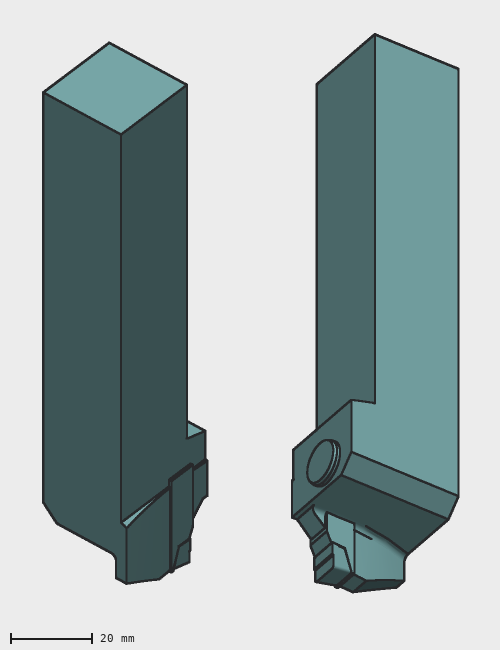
import cadquery as cq

LENGTH = 151.4
SHANK_SIZE = 25.0
HEAD_BACK_Y = 32.0
HEAD_SLOPE_TOP_Z = 38.9
HEAD_SLOPE_END_Z = 37.0
HEAD_BOTTOM_Z = 16.6
CORNER_CUT = 4.4

BLADE_OUTER_X = 26.8
BLADE_FRONT_INNER_X = 23.3
BLADE_INNER_X = 19.2
BLADE_WAIST_X = 25.3
BOSS_TOP_Z = 28.0
BOSS_TOP_DROP = 0.8
BLADE_FILLET = 1.5
BLADE_FRONT_Z = 9.5
BLADE_HEEL_Y = 13.8
BLADE_HEEL_Z = 1.5

RIB_MIN_Y = 18.2
RIB_MAX_Y = 26.3
RIB_MIN_X = 18.6
RIB_MAX_X = 25.7
RIB_TOP_Z = 30.1
RIB_BOTTOM_Z = 1.0

JAW_TOP_Y = 30.4
JAW_SHOULDER_Z = 12.1
JAW_NECK_Z = 10.6

INSERT_MIN_X = 18.2
INSERT_WIDTH = 7.9
INSERT_SIDE_RELIEF = 0.5
INSERT_TOP_Z = 7.5
INSERT_BACK_Y = 25.0
RAKE_Y = 24.7
RAKE_TOP_Z = 3.8
RAKE_STEP_Z = 4.1
SEAT_TOP_Y = 21.0
SEAT_BOTTOM_Y = 18.9
INSERT_HEEL_Z = 1.0
INSERT_CORNER_RADIUS = 0.8

SCREW_DIAMETER = 11.8
SCREW_X = 10.7
SCREW_Z = 23.9
SCREW_HEIGHT = 1.8
SCREW_TAPER_HEIGHT = 0.9
SCREW_TAPER_INSET = 0.3

ARC_CENTER_Y = (RIB_MIN_Y + RIB_MAX_Y) / 2


def arc_x(crest_x, front_x, y):
    """X at y on a shallow curve with its crest at ARC_CENTER_Y, reaching front_x at y = 0."""
    return crest_x + (front_x - crest_x) * ((y - ARC_CENTER_Y) / ARC_CENTER_Y) ** 2


def side_profile():
    """Y-Z outline of the whole holder, as a prism that covers its full width."""
    outline = [
        (0, LENGTH),
        (SHANK_SIZE, LENGTH),
        (SHANK_SIZE, HEAD_SLOPE_TOP_Z),
        (HEAD_BACK_Y, HEAD_SLOPE_END_Z),
        (HEAD_BACK_Y, HEAD_BOTTOM_Z),
        (JAW_TOP_Y, HEAD_BOTTOM_Z),
        (RIB_MAX_Y, JAW_SHOULDER_Z),
        (RIB_MAX_Y, JAW_NECK_Z),
        (INSERT_BACK_Y, INSERT_TOP_Z),
        (INSERT_BACK_Y, RIB_BOTTOM_Z),
        (RIB_MIN_Y, RIB_BOTTOM_Z),
        (RIB_MIN_Y, BLADE_HEEL_Z),
        (BLADE_HEEL_Y, BLADE_HEEL_Z),
        (0, BLADE_FRONT_Z),
    ]
    return cq.Workplane("YZ").polyline(outline).close().extrude(BLADE_OUTER_X)


def body_block():
    """Shank and head before the side profile is applied."""
    outline = [
        (0, LENGTH),
        (SHANK_SIZE, LENGTH),
        (SHANK_SIZE, HEAD_BOTTOM_Z),
        (CORNER_CUT, HEAD_BOTTOM_Z),
        (0, HEAD_BOTTOM_Z + CORNER_CUT),
    ]
    return cq.Workplane("XZ").polyline(outline).close().extrude(-HEAD_BACK_Y)


def blade_block():
    """Blade with arched sides and a sloped top on its +X side."""
    back_inner_x = arc_x(BLADE_INNER_X, BLADE_FRONT_INNER_X, HEAD_BACK_Y)
    back_outer_x = arc_x(BLADE_WAIST_X, BLADE_OUTER_X, HEAD_BACK_Y)
    section = (
        cq.Workplane("XY")
        .moveTo(BLADE_FRONT_INNER_X, 0)
        .lineTo(BLADE_OUTER_X, 0)
        .threePointArc((BLADE_WAIST_X, ARC_CENTER_Y), (back_outer_x, HEAD_BACK_Y))
        .lineTo(back_inner_x, HEAD_BACK_Y)
        .threePointArc((BLADE_INNER_X, ARC_CENTER_Y), (BLADE_FRONT_INNER_X, 0))
        .close()
        .extrude(BOSS_TOP_Z)
    )
    front_outline = [
        (0, 0),
        (BLADE_OUTER_X, 0),
        (BLADE_OUTER_X, BOSS_TOP_Z - BOSS_TOP_DROP),
        (SHANK_SIZE, BOSS_TOP_Z),
        (0, BOSS_TOP_Z),
    ]
    limits = cq.Workplane("XZ").polyline(front_outline).close().extrude(-HEAD_BACK_Y)
    return section.intersect(limits)


def rib_block():
    """Flat-sided rib that backs up the insert and forms the jaw above it."""
    rib_width = RIB_MAX_X - RIB_MIN_X
    rib_depth = RIB_MAX_Y - RIB_MIN_Y
    rib = cq.Workplane("XY").box(rib_width, rib_depth, RIB_TOP_Z, centered=False)
    return rib.translate((RIB_MIN_X, RIB_MIN_Y, 0))


def screw_head():
    """Round screw head standing on the rear face of the head."""
    return (
        cq.Workplane("XZ", origin=(SCREW_X, HEAD_BACK_Y, SCREW_Z))
        .circle(SCREW_DIAMETER / 2)
        .extrude(-SCREW_HEIGHT)
        .faces(">Y")
        .chamfer(SCREW_TAPER_HEIGHT, SCREW_TAPER_INSET)
    )


def seat_pocket():
    """Full-width notch in the blade that receives the insert."""
    outline = [
        (SEAT_BOTTOM_Y, 0),
        (SEAT_BOTTOM_Y, INSERT_HEEL_Z),
        (SEAT_TOP_Y, INSERT_TOP_Z),
        (INSERT_BACK_Y, INSERT_TOP_Z),
        (INSERT_BACK_Y, 0),
    ]
    return cq.Workplane("YZ").polyline(outline).close().extrude(BLADE_OUTER_X)


def make_holder():
    """Shank, head, blade, rib and screw head as one solid."""
    holder = body_block().union(blade_block())
    blade_root = cq.selectors.BoxSelector(
        (BLADE_INNER_X - BLADE_FILLET, 0, HEAD_BOTTOM_Z - BLADE_FILLET),
        (BLADE_FRONT_INNER_X, HEAD_BACK_Y, HEAD_BOTTOM_Z + BLADE_FILLET),
    )
    holder = holder.edges(blade_root).fillet(BLADE_FILLET)
    holder = holder.union(rib_block()).intersect(side_profile())
    return holder.cut(seat_pocket()).union(screw_head())


def make_insert():
    """Cutting insert whose sides narrow away from the rake face."""
    max_x = INSERT_MIN_X + INSERT_WIDTH
    section = [
        (INSERT_MIN_X + INSERT_SIDE_RELIEF, SEAT_BOTTOM_Y),
        (max_x - INSERT_SIDE_RELIEF, SEAT_BOTTOM_Y),
        (max_x, RAKE_Y),
        (max_x, INSERT_BACK_Y),
        (INSERT_MIN_X, INSERT_BACK_Y),
        (INSERT_MIN_X, RAKE_Y),
    ]
    side_outline = [
        (SEAT_BOTTOM_Y, INSERT_HEEL_Z),
        (SEAT_TOP_Y, INSERT_TOP_Z),
        (INSERT_BACK_Y, INSERT_TOP_Z),
        (INSERT_BACK_Y, RAKE_STEP_Z),
        (RAKE_Y, RAKE_TOP_Z),
        (RAKE_Y, 0),
    ]
    bar = cq.Workplane("XY").polyline(section).close().extrude(INSERT_TOP_Z)
    side_prism = cq.Workplane("YZ").polyline(side_outline).close().extrude(max_x)
    insert = bar.intersect(side_prism)
    return insert.faces("<Z").edges("<X or >X").fillet(INSERT_CORNER_RADIUS)


holder = make_holder()
insert = make_insert()

result = cq.Compound.makeCompound([holder.val(), insert.val()])